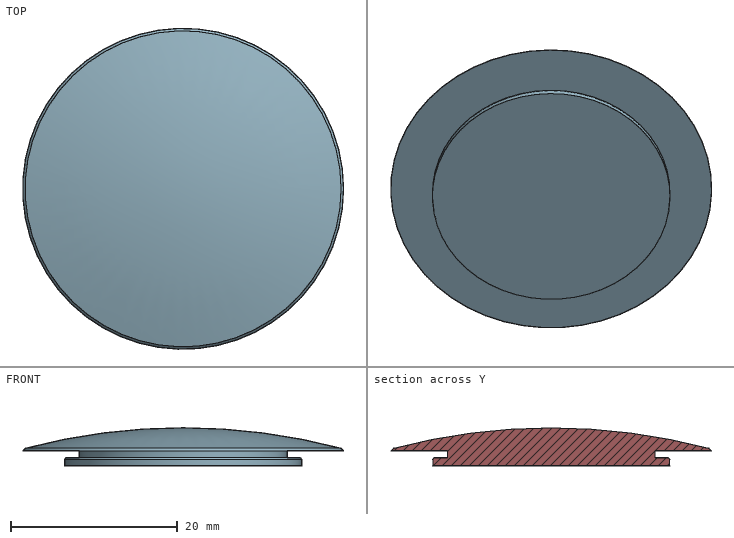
import cadquery as cq

cap_diameter = 38.5
total_height = 4.6

flange_diameter = 28.5
flange_height = 1.0
flange_chamfer = 0.208
neck_diameter = 25.0

cap_bottom = 1.8
rim_height = 0.3
rim_bevel_width = 0.3

cap_radius = cap_diameter / 2
flange_radius = flange_diameter / 2
neck_radius = neck_diameter / 2
dome_edge_radius = cap_radius - rim_bevel_width
dome_edge_height = cap_bottom + rim_height

dome_rise = total_height - dome_edge_height
sphere_radius = (dome_edge_radius**2 + dome_rise**2) / (2 * dome_rise)
arc_mid_radius = dome_edge_radius / 2
arc_mid_height = total_height - sphere_radius + (sphere_radius**2 - arc_mid_radius**2) ** 0.5

half_section = (
    cq.Workplane("XZ")
    .lineTo(flange_radius, 0)
    .lineTo(flange_radius, flange_height - flange_chamfer)
    .lineTo(flange_radius - flange_chamfer, flange_height)
    .lineTo(neck_radius, flange_height)
    .lineTo(neck_radius, cap_bottom)
    .lineTo(cap_radius, cap_bottom)
    .lineTo(dome_edge_radius, dome_edge_height)
    .threePointArc((arc_mid_radius, arc_mid_height), (0, total_height))
    .close()
)

result = half_section.revolve(360, (0, 0), (0, 1))